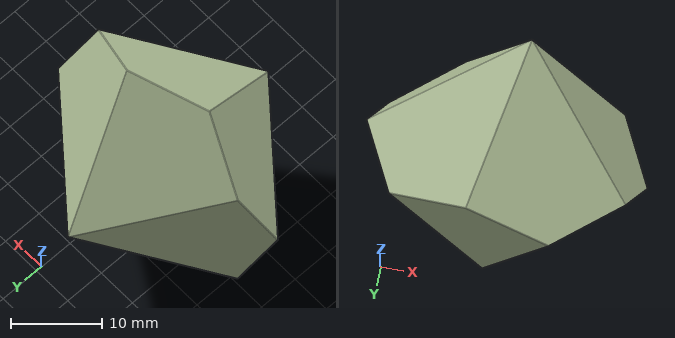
import cadquery as cq
import math


sides_per_tip = 5
width = 31.87
tip_to_tip = 29.93
edge_radius = 0.1

corner_count = 2 * sides_per_tip
corner_step = 2 * math.pi / corner_count
lean_ratio = math.tan(corner_step / 2) ** 2

core_rim_radius = width / 2 - edge_radius
core_tip_height = tip_to_tip / 2 - edge_radius
face_tilt = math.atan2(core_tip_height * (1 + lean_ratio), core_rim_radius)
core_face_distance = core_tip_height * math.cos(face_tilt)

growth = 1 + edge_radius / core_face_distance
rim_radius = core_rim_radius * growth
tip_height = core_tip_height * growth
rim_offset = tip_height * lean_ratio

front_tip = cq.Vector(0, -tip_height, 0)
back_tip = cq.Vector(0, tip_height, 0)


def rim_corner(index):
    """Rim corner counted from -X; even corners lean to -Y, odd ones to +Y."""
    angle = math.pi + corner_step * index
    lean = -rim_offset if index % 2 == 0 else rim_offset
    return cq.Vector(rim_radius * math.cos(angle), lean, rim_radius * math.sin(angle))


def kite_face(index):
    """Flat kite from the given rim corner to the tip on the far side of the middle plane."""
    tip = back_tip if index % 2 == 0 else front_tip
    corners = [tip, rim_corner(index - 1), rim_corner(index), rim_corner(index + 1)]
    return cq.Face.makeFromWires(cq.Wire.makePolygon(corners, close=True))


kites = [kite_face(index) for index in range(corner_count)]
sharp_die = cq.Solid.makeSolid(cq.Shell.makeShell(kites)).fix()

rounded_die = cq.Workplane(sharp_die).edges().fillet(edge_radius)
result = cq.Workplane(rounded_die.solids().val())